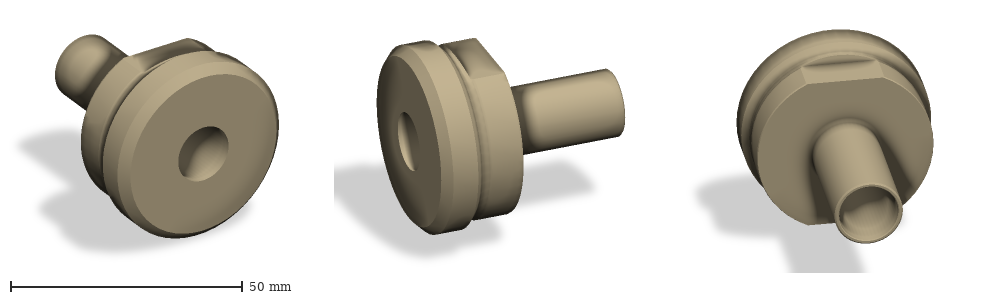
import cadquery as cq
import math

length = 47.5
collar_start = 28.5
collar_end = 35.7
neck_start = 36.35
neck_end = 37.55
flange_cone_start = 38.2

bore_radius = 13.0 / 2
tube_radius = 15.0 / 2
collar_radius = 19.45
neck_radius = 38.5 / 2
flange_radius = 41.8 / 2

tube_fillet = 0.75
tip_outer_chamfer = 0.35
tip_inner_chamfer = 0.2
collar_edge_length = 0.4
collar_edge_drop = 0.15
flange_rear_chamfer = 2.05

flat_height = 17.45
flat_end = 36.45
shoulder_lean = 14.0

flange_cone_length = flange_radius - collar_radius


def turned_body():
    """Revolve the outer profile about X, with the bore still solid."""
    fillet_start = collar_start - tube_fillet
    fillet_end_radius = tube_radius + tube_fillet
    fillet_middle = (
        fillet_start + tube_fillet * math.sin(math.radians(45)),
        fillet_end_radius - tube_fillet * math.cos(math.radians(45)),
    )
    profile = (
        cq.Workplane("XY")
        .moveTo(0, 0)
        .lineTo(0, tube_radius - tip_outer_chamfer)
        .lineTo(tip_outer_chamfer, tube_radius)
        .lineTo(fillet_start, tube_radius)
        .threePointArc(fillet_middle, (collar_start, fillet_end_radius))
        .lineTo(collar_start, collar_radius - collar_edge_drop)
        .lineTo(collar_start + collar_edge_length, collar_radius)
        .lineTo(collar_end, collar_radius)
        .lineTo(neck_start, neck_radius)
        .lineTo(neck_end, neck_radius)
        .lineTo(flange_cone_start, collar_radius)
        .lineTo(flange_cone_start + flange_cone_length, flange_radius)
        .lineTo(length - flange_rear_chamfer, flange_radius)
        .lineTo(length, flange_radius - flange_rear_chamfer)
        .lineTo(length, 0)
        .close()
    )
    return profile.revolve(360, (0, 0, 0), (1, 0, 0))


def bore_cutter():
    """Through bore with a small chamfer at the tube tip."""
    mouth_radius = bore_radius + tip_inner_chamfer
    profile = cq.Workplane("XY").polyline([
        (0, 0),
        (0, mouth_radius),
        (tip_inner_chamfer, bore_radius),
        (length, bore_radius),
        (length, 0),
    ]).close()
    return profile.revolve(360, (0, 0, 0), (1, 0, 0))


def flat_cutter():
    """Material above the upper wrench flat."""
    top = collar_radius + 0.05
    shoulder_run = (top - flat_height) * math.tan(math.radians(shoulder_lean))
    profile = cq.Workplane("XZ").polyline([
        (collar_start, flat_height),
        (flat_end, flat_height),
        (flat_end + shoulder_run, top),
        (collar_start, top),
    ]).close()
    return profile.extrude(flange_radius, both=True)


upper_flat = flat_cutter()
lower_flat = upper_flat.mirror("XY")
result = turned_body().cut(bore_cutter()).cut(upper_flat).cut(lower_flat)